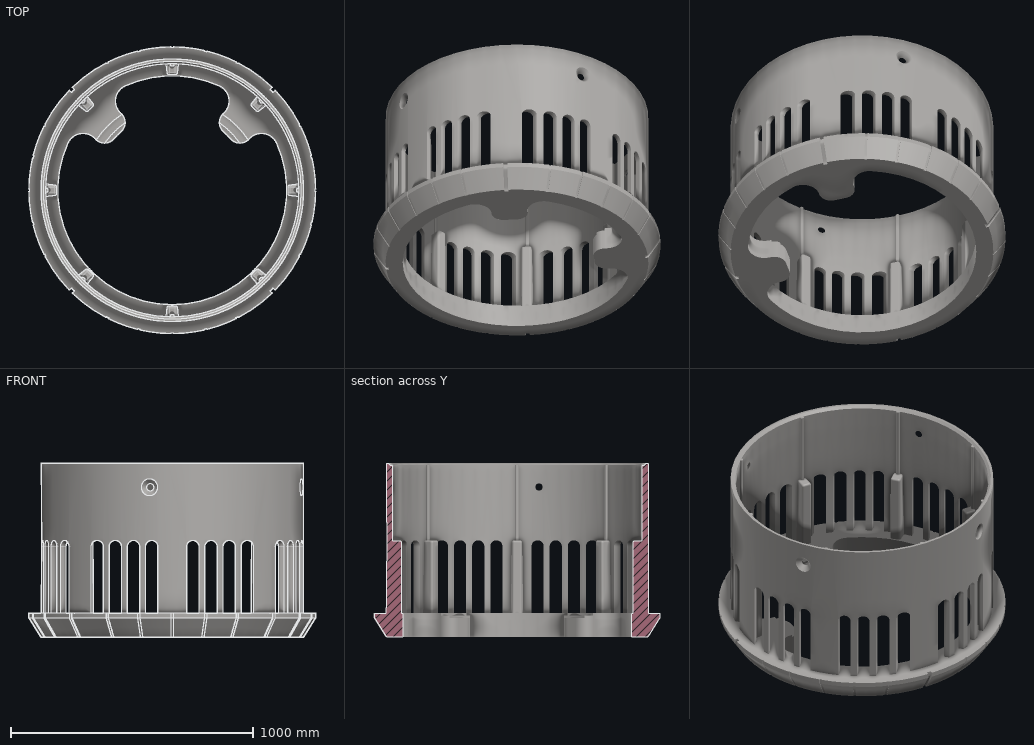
import cadquery as cq
import math

TOTAL_HEIGHT = 720.0
WALL_OUTER_RADIUS = 1085.0 / 2
WALL_INNER_RADIUS = 1045.0 / 2
RIM_CHAMFER = 10.0

BASE_RADIUS = 1185.0 / 2
BASE_HEIGHT = 100.0
BASE_RIM_HEIGHT = 20.0
OPENING_RADIUS = 472.0

TONGUE_ANGLES = (45.0, 135.0)
TONGUE_TIP_RADIUS = 320.0
TONGUE_HALF_WIDTH = 75.0
TONGUE_CORNER_RADIUS = 50.0
TONGUE_ROOT_RADIUS = 68.0
TONGUE_STEP_RADII = (376.0, 340.0)
TONGUE_STEP_DEPTH = 10.0

WINDOW_WIDTH = 50.0
WINDOW_TOP = 400.0
FIRST_WINDOW_OFFSET = 85.0
WINDOW_PITCH = 75.0
WINDOWS_PER_GROUP = 4

HOLE_ANGLES = (-10.0, 80.0, 170.0, 260.0)
HOLE_HEIGHT = 620.0
HOLE_DIAMETER = 30.0
COUNTERSINK_DIAMETER = 70.0

POST_COUNT = 8
POST_TOP = 400.0
POST_INNER_RADIUS = 477.0
POST_WIDTH = 42.0
POST_HEAD_WIDTH = 38.0
POST_FOOT_WIDTH = 54.0
POST_FILLET = 9.0
RIB_WIDTH = 15.0
RIB_HEIGHT = 9.0
RIB_FILLET = 5.0

GROOVE_ANGLES = (0.0, 13.5, 27.0, 63.0, 76.5)
GROOVE_WIDTH = 10.0
GROOVE_DEPTH = 3.0
NOTCH_ANGLE = 45.0
NOTCH_WIDTH = 17.0
NOTCH_DEPTH = 12.0

FULL_TURN = 360.0
QUARTER_TURN = FULL_TURN / 4
CLEARANCE = 10.0

WALL_MIDDLE_RADIUS = (WALL_OUTER_RADIUS + WALL_INNER_RADIUS) / 2


def rotated(shape, angle):
    return shape.rotate((0, 0, 0), (0, 0, 1), angle)


def rotated_copies(shape, angles):
    """One workplane holding a copy of the shape at every angle; the copies must not touch."""
    copies = [rotated(shape, angle).val() for angle in angles]
    return cq.Workplane(cq.Compound.makeCompound(copies))


def make_base():
    profile = [
        (0, 0),
        (WALL_OUTER_RADIUS, 0),
        (BASE_RADIUS, BASE_HEIGHT - BASE_RIM_HEIGHT),
        (BASE_RADIUS, BASE_HEIGHT),
        (0, BASE_HEIGHT),
    ]
    return cq.Workplane("XZ").polyline(profile).close().revolve(FULL_TURN, (0, 0), (0, 1))


def make_tongue():
    """Tongue pointing inward from +X, with concave root arcs tangent to the opening."""
    root_y = TONGUE_HALF_WIDTH + TONGUE_ROOT_RADIUS
    root_x = math.sqrt((OPENING_RADIUS - TONGUE_ROOT_RADIUS) ** 2 - root_y**2)
    root_direction = math.atan2(root_y, root_x)
    tangent_x = OPENING_RADIUS * math.cos(root_direction)
    tangent_y = OPENING_RADIUS * math.sin(root_direction)
    middle_direction = (root_direction - math.pi / 2) / 2
    middle_x = root_x + TONGUE_ROOT_RADIUS * math.cos(middle_direction)
    middle_y = root_y + TONGUE_ROOT_RADIUS * math.sin(middle_direction)
    return (
        cq.Workplane("XY")
        .moveTo(TONGUE_TIP_RADIUS, -TONGUE_HALF_WIDTH)
        .lineTo(root_x, -TONGUE_HALF_WIDTH)
        .threePointArc((middle_x, -middle_y), (tangent_x, -tangent_y))
        .lineTo(WALL_MIDDLE_RADIUS, -tangent_y)
        .lineTo(WALL_MIDDLE_RADIUS, tangent_y)
        .lineTo(tangent_x, tangent_y)
        .threePointArc((middle_x, middle_y), (root_x, TONGUE_HALF_WIDTH))
        .lineTo(TONGUE_TIP_RADIUS, TONGUE_HALF_WIDTH)
        .close()
        .extrude(BASE_HEIGHT)
        .edges("|Z and <X")
        .fillet(TONGUE_CORNER_RADIUS)
    )


def make_opening():
    """Through opening in the base with the tongues left standing."""
    opening = cq.Workplane("XY").circle(OPENING_RADIUS).extrude(BASE_HEIGHT)
    for angle in TONGUE_ANGLES:
        opening = opening.cut(rotated(make_tongue(), angle))
    return opening


def make_tongue_steps():
    """Concentric shallow discs that lower the top of each tongue toward its tip."""
    steps = None
    for number, radius in enumerate(TONGUE_STEP_RADII, start=1):
        depth = number * TONGUE_STEP_DEPTH
        step = cq.Workplane("XY").workplane(offset=BASE_HEIGHT - depth).circle(radius).extrude(depth)
        steps = step if steps is None else steps.union(step)
    return steps


def make_wall():
    """Plain tube above the base, chamfered at the inner edge of its upper end."""
    height = TOTAL_HEIGHT - BASE_HEIGHT
    return (
        cq.Workplane("XY")
        .workplane(offset=BASE_HEIGHT)
        .circle(WALL_OUTER_RADIUS)
        .circle(WALL_INNER_RADIUS)
        .extrude(height)
        .faces(">Z")
        .edges(cq.selectors.RadiusNthSelector(0))
        .chamfer(RIM_CHAMFER)
    )


def make_window(offset):
    """Round-topped bar along X at the given Y, reaching through both sides of the wall."""
    radius = WINDOW_WIDTH / 2
    spring_height = WINDOW_TOP - radius
    return (
        cq.Workplane("YZ")
        .workplane(offset=-WALL_OUTER_RADIUS)
        .moveTo(offset - radius, BASE_HEIGHT)
        .lineTo(offset + radius, BASE_HEIGHT)
        .lineTo(offset + radius, spring_height)
        .threePointArc((offset, WINDOW_TOP), (offset - radius, spring_height))
        .close()
        .extrude(2 * WALL_OUTER_RADIUS)
    )


def make_hole():
    """Hole through the wall at +X with a 45 degree countersink opening outward."""
    hole_radius = HOLE_DIAMETER / 2
    sink_radius = COUNTERSINK_DIAMETER / 2
    sink_depth = sink_radius - hole_radius
    profile = [
        (WALL_INNER_RADIUS - CLEARANCE, 0),
        (WALL_INNER_RADIUS - CLEARANCE, hole_radius),
        (WALL_OUTER_RADIUS - sink_depth, hole_radius),
        (WALL_OUTER_RADIUS, sink_radius),
        (WALL_OUTER_RADIUS + CLEARANCE, sink_radius),
        (WALL_OUTER_RADIUS + CLEARANCE, 0),
    ]
    hole = cq.Workplane("XY").polyline(profile).close().revolve(FULL_TURN, (0, 0), (1, 0))
    return hole.translate((0, 0, HOLE_HEIGHT))


def post_outline(workplane, outer_width):
    inner = POST_WIDTH / 2
    outer = outer_width / 2
    points = [
        (POST_INNER_RADIUS, -inner),
        (WALL_MIDDLE_RADIUS, -outer),
        (WALL_MIDDLE_RADIUS, outer),
        (POST_INNER_RADIUS, inner),
    ]
    return workplane.polyline(points).close()


def make_post():
    """Rounded post at +X whose sides flare toward the wall at its foot."""
    foot = post_outline(cq.Workplane("XY").workplane(offset=BASE_HEIGHT), POST_FOOT_WIDTH)
    post = post_outline(foot.workplane(offset=POST_TOP - BASE_HEIGHT), POST_HEAD_WIDTH).loft(ruled=True)
    post = post.faces("<X").edges("<Y or >Y").fillet(POST_FILLET)
    return post.faces(">Z").edges("not >X").fillet(POST_FILLET)


def make_rib():
    """Rounded rib at +X from inside the post up to the foot of the rim chamfer."""
    top = TOTAL_HEIGHT - RIM_CHAMFER
    start = POST_TOP - 2 * POST_FILLET
    inner_radius = WALL_INNER_RADIUS - RIB_HEIGHT
    depth = WALL_MIDDLE_RADIUS - inner_radius
    return (
        cq.Workplane("XY")
        .box(depth, RIB_WIDTH, top - start, centered=(False, True, False))
        .translate((inner_radius, 0, start))
        .edges("|Z and <X")
        .fillet(RIB_FILLET)
    )


def make_groove(width, depth):
    """Groove at +X that follows the cone and rim of the base."""
    outside = BASE_RADIUS + CLEARANCE
    profile = [
        (WALL_OUTER_RADIUS - depth, 0),
        (BASE_RADIUS - depth, BASE_HEIGHT - BASE_RIM_HEIGHT),
        (BASE_RADIUS - depth, BASE_HEIGHT),
        (outside, BASE_HEIGHT),
        (outside, 0),
    ]
    return cq.Workplane("XZ").polyline(profile).close().extrude(width / 2, both=True)


def make_part():
    quarter_turns = [turn * QUARTER_TURN for turn in range(4)]

    wall = make_wall()
    for number in range(WINDOWS_PER_GROUP):
        window = make_window(FIRST_WINDOW_OFFSET + number * WINDOW_PITCH)
        for turn in quarter_turns:
            wall = wall.cut(rotated(window, turn))
    wall = wall.cut(rotated_copies(make_hole(), HOLE_ANGLES))

    base = make_base().cut(make_opening()).cut(make_tongue_steps())
    groove_angles = [turn + angle for turn in quarter_turns for angle in GROOVE_ANGLES]
    notch_angles = [turn + NOTCH_ANGLE for turn in quarter_turns]
    base = base.cut(rotated_copies(make_groove(GROOVE_WIDTH, GROOVE_DEPTH), groove_angles))
    base = base.cut(rotated_copies(make_groove(NOTCH_WIDTH, NOTCH_DEPTH), notch_angles))

    post_angles = [index * FULL_TURN / POST_COUNT for index in range(POST_COUNT)]
    post = make_post().union(make_rib())
    return base.union(wall).union(rotated_copies(post, post_angles))


result = make_part().solids()